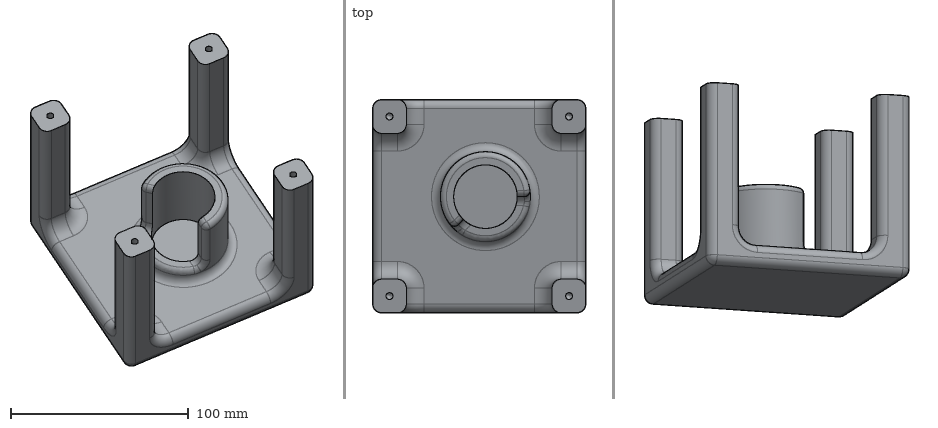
import cadquery as cq
import math

side = 120.0
height = 104.0
plate_thickness = 13.0
leg_width = 19.0
edge_radius = 5.0
blend_radius = 10.0

hole_diameter = 3.8
hole_depth = 15.0
drill_point_angle = 118.0

cup_x = 3.5
cup_y = 5.4
cup_bore = 35.8
cup_wall = 7.5
cup_top = 57.0
foot_radius = 5.0
rim_radius = 3.4
seam_angle = 90.0

opening_start = 226.0
opening_end = 360.0
opening_sill = 20.6
sill_corner_radius = 5.0

leg_inner = side / 2 - leg_width
leg_offset = (side - leg_width) / 2
bore_radius = cup_bore / 2
cup_radius = bore_radius + cup_wall
cup_height = cup_top - plate_thickness
tolerance = 0.01


def inner_corners(low_z, high_z):
    """Selector for edges at the inner corners of the legs, rounded or not, between two heights."""
    reach = leg_inner + edge_radius + tolerance
    return cq.selectors.BoxSelector(
        (-reach, -reach, low_z - tolerance),
        (reach, reach, high_z + tolerance),
        boundingbox=True,
    )


def near_cup(distance, angle, z):
    """Selector for the edge centred nearest to a point given around the cup axis."""
    turn = math.radians(angle)
    x = cup_x + distance * math.cos(turn)
    y = cup_y + distance * math.sin(turn)
    return cq.selectors.NearestToPointSelector((x, y, z))


def make_stand():
    """Plate with a leg at each corner, rounded and blended together."""
    plate = cq.Workplane("XY").box(side, side, plate_thickness, centered=(True, True, False))
    legs = (
        cq.Workplane("XY")
        .rarray(2 * leg_offset, 2 * leg_offset, 2, 2)
        .rect(leg_width, leg_width)
        .extrude(height)
    )
    stand = plate.union(legs)

    stand = stand.edges("|Z").edges(inner_corners(plate_thickness, height)).fillet(edge_radius)
    leg_roots = inner_corners(plate_thickness, plate_thickness)
    stand = stand.edges("%CIRCLE").edges(leg_roots).fillet(blend_radius)

    return stand.faces("<X or >X or <Y or >Y").edges("not >Z").fillet(edge_radius)


def drill_leg_holes(body):
    """Blind hole with a conical point in the middle of each leg top."""
    radius = hole_diameter / 2
    point_depth = radius / math.tan(math.radians(drill_point_angle / 2))
    drill = (
        cq.Workplane("XZ")
        .moveTo(0, height)
        .lineTo(radius, height)
        .lineTo(radius, height - hole_depth)
        .lineTo(0, height - hole_depth - point_depth)
        .close()
        .revolve(360, (0, 0, 0), (0, 1, 0))
    )
    for x in (-leg_offset, leg_offset):
        for y in (-leg_offset, leg_offset):
            body = body.cut(drill.translate((x, y, 0)))
    return body


def add_cup(body):
    """Round cup with a rounded foot, its floor level with the plate."""
    base = cq.Workplane("XY", origin=(cup_x, cup_y, plate_thickness))
    base = base.transformed(rotate=(0, 0, seam_angle))
    body = body.union(base.circle(cup_radius).extrude(cup_height))
    body = body.edges("%CIRCLE").edges(near_cup(0, 0, plate_thickness)).fillet(foot_radius)
    return body.cut(base.circle(bore_radius).extrude(cup_height))


def open_cup(body):
    """Sector of the cup wall removed above a sill, with rounded corners."""
    sector = (
        cq.Workplane("XZ")
        .rect(2 * cup_radius, cup_top, centered=False)
        .revolve(opening_end - opening_start, (0, 0, 0), (0, 1, 0))
        .rotate((0, 0, 0), (0, 0, 1), opening_start)
        .translate((cup_x, cup_y, opening_sill))
    )
    body = body.cut(sector)
    mid_wall = bore_radius + cup_wall / 2
    for angle in (opening_start, opening_end):
        for z, radius in ((opening_sill, sill_corner_radius), (cup_top, rim_radius)):
            body = body.edges("%LINE").edges(near_cup(mid_wall, angle, z)).fillet(radius)
    return body


def round_rim(body):
    """Rounded outer rim: one smooth loop along the top and through the opening."""
    sill_middle = (opening_start + opening_end) / 2
    sill_edge = near_cup(cup_radius, sill_middle, opening_sill)
    return body.edges("%CIRCLE").edges(sill_edge).fillet(rim_radius)


stand = drill_leg_holes(make_stand())
result = round_rim(open_cup(add_cup(stand)))